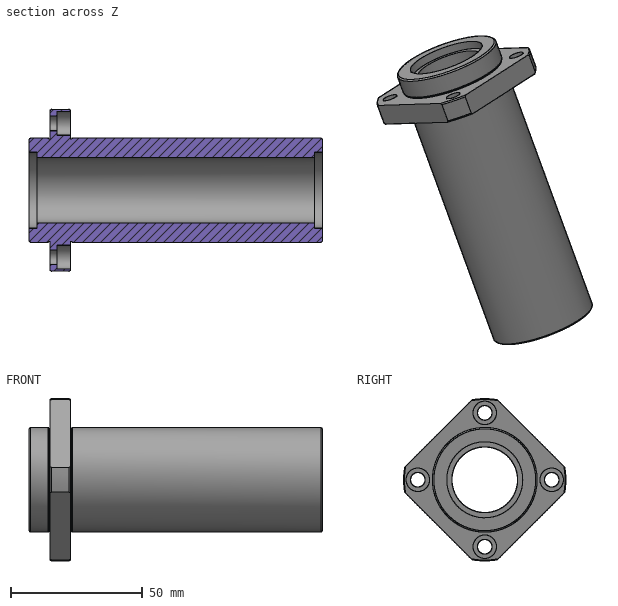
import cadquery as cq
import math

length = 112.0
body_diameter = 40.0
end_chamfer = 0.6

flange_start = 8.0
flange_thickness = 8.0
flange_end = flange_start + flange_thickness
flange_corner_diameter = 61.9
flange_across_flats = 50.0
flange_chamfer_axial = 0.6
flange_chamfer_radial = 0.3

neck_diameter = 39.3
neck_chamfer = (body_diameter - neck_diameter) / 2
neck_gap = 0.3

bore_diameter = 25.0
recess_diameter = 29.0
recess_depth = 3.0

bolt_count = 4
bolt_circle_radius = 25.5
bolt_diameter = 5.5
counterbore_diameter = 9.0
counterbore_depth = 5.2


def cylinder(diameter, start, end):
    """Solid cylinder about the X axis between two X positions."""
    return cq.Workplane("YZ").workplane(offset=start).circle(diameter / 2).extrude(end - start)


def make_body():
    """Front collar and rear sleeve, joined by a neck relieved at both flange faces."""
    collar = cylinder(body_diameter, 0, flange_start - neck_gap)
    collar = collar.faces("<X").chamfer(end_chamfer).faces(">X").chamfer(neck_chamfer)
    sleeve = cylinder(body_diameter, flange_end + neck_gap, length)
    sleeve = sleeve.faces("<X").chamfer(neck_chamfer).faces(">X").chamfer(end_chamfer)
    neck = cylinder(neck_diameter, flange_start - neck_gap, flange_end + neck_gap)
    return collar.union(neck).union(sleeve)


def make_flange():
    """Square standing on its corner, with the corners turned to a chamfered disc."""
    outer_radius = flange_corner_diameter / 2
    face_radius = outer_radius - flange_chamfer_radial
    disc = (
        cq.Workplane("XY")
        .moveTo(flange_start, 0)
        .lineTo(flange_start, face_radius)
        .lineTo(flange_start + flange_chamfer_axial, outer_radius)
        .lineTo(flange_end - flange_chamfer_axial, outer_radius)
        .lineTo(flange_end, face_radius)
        .lineTo(flange_end, 0)
        .close()
        .revolve(360, (0, 0, 0), (1, 0, 0))
    )
    square = (
        cq.Workplane("YZ")
        .workplane(offset=flange_start)
        .transformed(rotate=(0, 0, 45))
        .rect(flange_across_flats, flange_across_flats)
        .extrude(flange_thickness)
    )
    return disc.intersect(square)


def cut_bolt_holes(part):
    """Bolt holes in the flange corners, counterbored from the sleeve side."""
    for index in range(bolt_count):
        angle = 2 * math.pi * index / bolt_count
        place = (0, bolt_circle_radius * math.cos(angle), bolt_circle_radius * math.sin(angle))
        part = part.cut(cylinder(bolt_diameter, flange_start, flange_end).translate(place))
        counterbore = cylinder(counterbore_diameter, flange_end - counterbore_depth, flange_end)
        part = part.cut(counterbore.translate(place))
    return part


def cut_bore(part):
    """Through bore with an equal seal recess at each end."""
    part = part.cut(cylinder(bore_diameter, 0, length))
    part = part.cut(cylinder(recess_diameter, 0, recess_depth))
    return part.cut(cylinder(recess_diameter, length - recess_depth, length))


flange = cut_bolt_holes(make_flange())
result = cut_bore(make_body().union(flange))